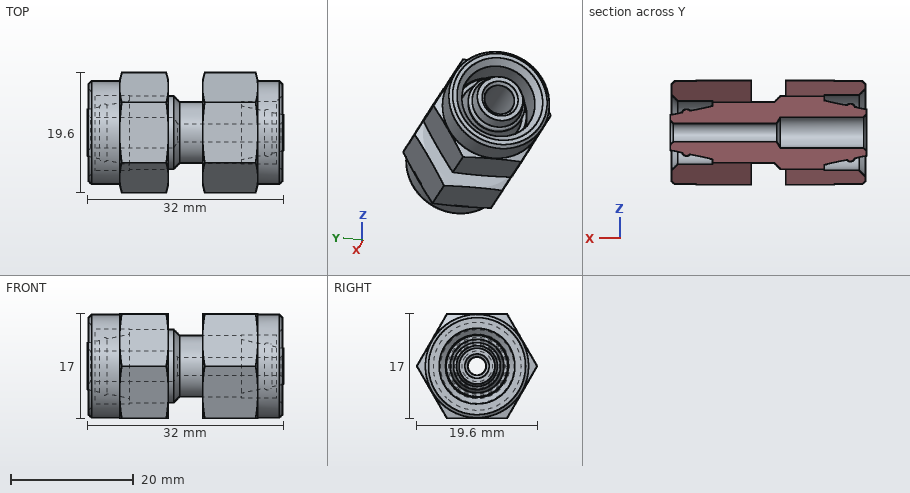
import cadquery as cq
import math


LENGTH = 32.0
HEX_ACROSS_FLATS = 17.0

NECK_RADIUS = 5.0
COLLAR_RADIUS = 6.0
COLLAR_END_X = 14.05
SHOULDER_DEPTH = 6.88
CONE_HALF_ANGLE = math.radians(12)
LARGE_NOSE_RADIUS = 3.8
SMALL_NOSE_RADIUS = 2.9
LARGE_BORE_RADIUS = 2.5
SMALL_BORE_RADIUS = 1.47
BORE_CHAMFER = 0.5
DRILL_HALF_ANGLE = math.radians(59)

BEAD_TUBE_RADIUS = 0.75
BEAD_DEPTH = 2.65
BEAD_HEIGHT = 0.35

NUT_LENGTH = 13.02
NUT_INSET = 0.2
RIM_RADIUS = 8.4
RIM_CHAMFER = 0.5
LARGE_RIM_LENGTH = 5.1
SMALL_RIM_LENGTH = 4.03
MOUTH_CHAMFER = 1.05
BORE_CLEARANCE = 0.13
HEX_CHAMFER_ANGLE = math.radians(15)

HEX_INRADIUS = HEX_ACROSS_FLATS / 2
HEX_CIRCUMRADIUS = HEX_INRADIUS / math.cos(math.radians(30))


def revolve_about_x(points):
    """Solid of revolution about X from (x, radius) points."""
    return cq.Workplane("XY").polyline(points).close().revolve(360, (0, 0, 0), (1, 0, 0))


def turned_to_right_end(shape):
    """Move a shape built at the left end to the matching place at the right end."""
    return shape.mirror("YZ").translate((LENGTH, 0, 0))


def cone_radius(nose_radius, depth):
    return nose_radius + depth * math.tan(CONE_HALF_ANGLE)


def cone_nose(nose_radius):
    """Cone from the end face to the shoulder, with the sealing bead around it."""
    cone = revolve_about_x([
        (0, 0),
        (0, nose_radius),
        (SHOULDER_DEPTH, cone_radius(nose_radius, SHOULDER_DEPTH)),
        (SHOULDER_DEPTH, 0),
    ])
    bead_ring_radius = cone_radius(nose_radius, BEAD_DEPTH) + BEAD_HEIGHT - BEAD_TUBE_RADIUS
    bead = (
        cq.Workplane("XY")
        .center(BEAD_DEPTH, bead_ring_radius)
        .circle(BEAD_TUBE_RADIUS)
        .revolve(360, (0, -bead_ring_radius, 0), (1, -bead_ring_radius, 0))
    )
    return cone.union(bead)


def tube_body():
    collar_chamfer = COLLAR_RADIUS - NECK_RADIUS
    sleeve = revolve_about_x([
        (SHOULDER_DEPTH, 0),
        (SHOULDER_DEPTH, COLLAR_RADIUS),
        (COLLAR_END_X, COLLAR_RADIUS),
        (COLLAR_END_X + collar_chamfer, NECK_RADIUS),
        (LENGTH - SHOULDER_DEPTH, NECK_RADIUS),
        (LENGTH - SHOULDER_DEPTH, 0),
    ])
    drill_tip_length = (LARGE_BORE_RADIUS - SMALL_BORE_RADIUS) / math.tan(DRILL_HALF_ANGLE)
    bore = revolve_about_x([
        (0, 0),
        (0, LARGE_BORE_RADIUS + BORE_CHAMFER),
        (BORE_CHAMFER, LARGE_BORE_RADIUS),
        (COLLAR_END_X, LARGE_BORE_RADIUS),
        (COLLAR_END_X + drill_tip_length, SMALL_BORE_RADIUS),
        (LENGTH - BORE_CHAMFER, SMALL_BORE_RADIUS),
        (LENGTH, SMALL_BORE_RADIUS + BORE_CHAMFER),
        (LENGTH, 0),
    ])
    large_nose = cone_nose(LARGE_NOSE_RADIUS)
    small_nose = turned_to_right_end(cone_nose(SMALL_NOSE_RADIUS))
    return sleeve.union(large_nose).union(small_nose).cut(bore)


def nut_hexagon(rim_length):
    """Hexagon behind the round rim, its corners turned off at both ends."""
    start_x = NUT_INSET + rim_length
    end_x = NUT_INSET + NUT_LENGTH
    corner_depth = (HEX_CIRCUMRADIUS - HEX_INRADIUS) * math.tan(HEX_CHAMFER_ANGLE)
    prism = (
        cq.Workplane("YZ", origin=(start_x, 0, 0))
        .polygon(6, 2 * HEX_CIRCUMRADIUS)
        .extrude(end_x - start_x)
    )
    turned_envelope = revolve_about_x([
        (start_x, 0),
        (start_x, HEX_INRADIUS),
        (start_x + corner_depth, HEX_CIRCUMRADIUS),
        (end_x - corner_depth, HEX_CIRCUMRADIUS),
        (end_x, HEX_INRADIUS),
        (end_x, 0),
    ])
    return prism.intersect(turned_envelope)


def union_nut(rim_length, sleeve_radius):
    """Nut at the left end: chamfered rim, hexagon, and a bore closing onto the sleeve."""
    end_x = NUT_INSET + NUT_LENGTH
    bore_radius = sleeve_radius + BORE_CLEARANCE
    rim = revolve_about_x([
        (NUT_INSET, 0),
        (NUT_INSET, RIM_RADIUS - RIM_CHAMFER),
        (NUT_INSET + RIM_CHAMFER, RIM_RADIUS),
        (NUT_INSET + rim_length, RIM_RADIUS),
        (NUT_INSET + rim_length, 0),
    ])
    bore = revolve_about_x([
        (NUT_INSET, 0),
        (NUT_INSET, bore_radius + MOUTH_CHAMFER),
        (NUT_INSET + MOUTH_CHAMFER, bore_radius),
        (SHOULDER_DEPTH, bore_radius),
        (SHOULDER_DEPTH, sleeve_radius),
        (end_x, sleeve_radius),
        (end_x, 0),
    ])
    return rim.union(nut_hexagon(rim_length)).cut(bore)


body = tube_body()
large_nut = union_nut(LARGE_RIM_LENGTH, COLLAR_RADIUS)
small_nut = turned_to_right_end(union_nut(SMALL_RIM_LENGTH, NECK_RADIUS))

result = cq.Compound.makeCompound([
    body.solids().val(),
    large_nut.solids().val(),
    small_nut.solids().val(),
])